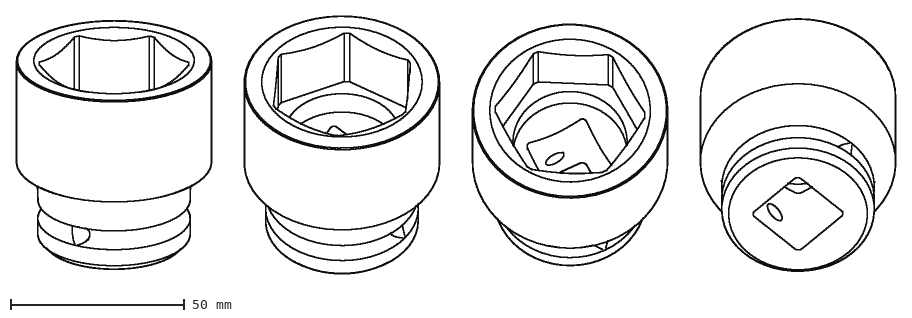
import cadquery as cq
import math

height = 57.0
body_radius = 28.15
body_bottom = 25.0
rim_chamfer = 0.35
neck_radius = 22.0
neck_top = 15.7
foot_radius = 20.0
foot_chamfer_height = 2.05

groove_radius = 2.95
groove_height = 10.1

hex_across_flats = 38.2
hex_corner_diameter = 43.2
hex_floor = 37.0
mouth_radius = 23.15
mouth_angle = 30.0

bore_radius = 16.5
bore_floor = 29.75
bore_cone_angle = 30.0
square_side = 19.1
square_corner_radius = 1.4


def make_outside():
    """Revolved body with a concave flare from the neck up to the body."""
    step = body_radius - neck_radius
    rise = body_bottom - neck_top
    flare_radius = (step**2 + rise**2) / (2 * step)
    half_sweep = math.asin(rise / flare_radius) / 2
    flare_middle = (
        neck_radius + flare_radius * (1 - math.cos(half_sweep)),
        neck_top + flare_radius * math.sin(half_sweep),
    )
    profile = (
        cq.Workplane("XZ")
        .lineTo(foot_radius, 0)
        .lineTo(neck_radius, foot_chamfer_height)
        .lineTo(neck_radius, groove_height - groove_radius)
        .threePointArc(
            (neck_radius - groove_radius, groove_height),
            (neck_radius, groove_height + groove_radius),
        )
        .lineTo(neck_radius, neck_top)
        .threePointArc(flare_middle, (body_radius, body_bottom))
        .lineTo(body_radius, height - rim_chamfer)
        .lineTo(body_radius - rim_chamfer, height)
        .lineTo(0, height)
        .close()
    )
    return profile.revolve(360, (0, 0, 0), (0, 1, 0))


def make_hex_socket():
    """Hexagon with flats facing +X and -X and its corners rounded off by a cylinder."""
    sharp_diameter = hex_across_flats / math.cos(math.pi / 6)
    depth = height - hex_floor
    hexagon = (
        cq.Workplane("XY", origin=(0, 0, hex_floor))
        .transformed(rotate=(0, 0, 30))
        .polygon(6, sharp_diameter)
        .extrude(depth)
    )
    corner_limit = (
        cq.Workplane("XY", origin=(0, 0, hex_floor))
        .circle(hex_corner_diameter / 2)
        .extrude(depth)
    )
    return hexagon.intersect(corner_limit)


def make_mouth():
    """Conical lead-in that narrows down to a point inside the socket."""
    cone_depth = mouth_radius * math.tan(math.radians(mouth_angle))
    return (
        cq.Workplane("XZ", origin=(0, 0, height))
        .lineTo(mouth_radius, 0)
        .lineTo(0, -cone_depth)
        .close()
        .revolve(360, (0, 0, 0), (0, 1, 0))
    )


def make_bore():
    """Round clearance bore with a conical bottom."""
    cone_depth = bore_radius * math.tan(math.radians(bore_cone_angle))
    return (
        cq.Workplane("XZ")
        .moveTo(0, hex_floor)
        .lineTo(bore_radius, hex_floor)
        .lineTo(bore_radius, bore_floor)
        .lineTo(0, bore_floor - cone_depth)
        .close()
        .revolve(360, (0, 0, 0), (0, 1, 0))
    )


def make_square_drive():
    return (
        cq.Workplane("XY")
        .rect(square_side, square_side)
        .extrude(bore_floor)
        .edges("|Z")
        .fillet(square_corner_radius)
    )


def make_pin_hole():
    """Hole along Y through both walls, level with the groove."""
    return (
        cq.Workplane("XZ", origin=(0, 0, groove_height))
        .circle(groove_radius)
        .extrude(body_radius, both=True)
    )


result = make_outside()
for cutter in (
    make_hex_socket(),
    make_mouth(),
    make_bore(),
    make_square_drive(),
    make_pin_hole(),
):
    result = result.cut(cutter)